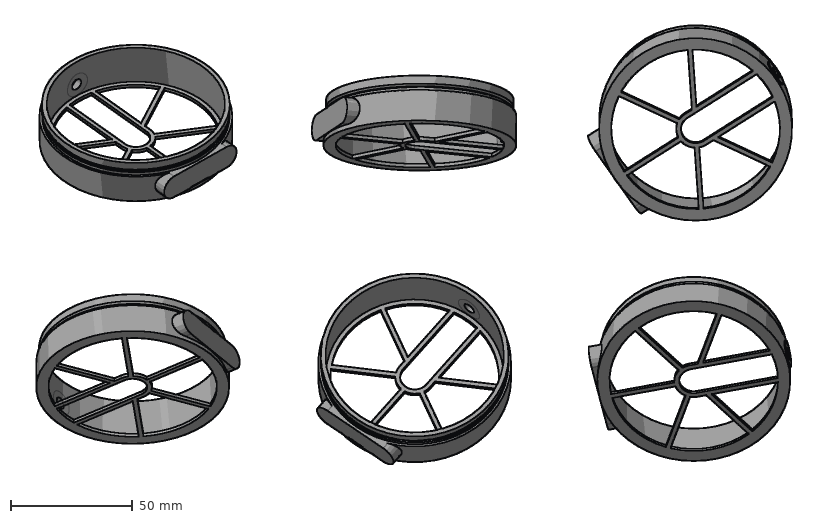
import cadquery as cq

height = 19.5
body_radius = 39.8
body_height = 13.0
collar_radius = 38.7
bore_radius = 36.7
opening_radius = 34.7
floor_thickness = 1.5

groove_bottom = 14.6
groove_flank_bottom = 15.1
groove_top = 16.0
groove_radius = 37.8

rib_width = 2.0
slot_outer_radius = 8.0
slot_inner_radius = slot_outer_radius - rib_width
spoke_angles = (-120, -60, 0, 60, 120)
rib_end_radius = (opening_radius + bore_radius) / 2

boss_reach = 40.0
boss_radius = 5.5
boss_height = body_height - boss_radius
wide_boss_length = 40.0
hole_radius = 2.5


def make_ring():
    """Revolve the stepped wall and its inner floor ledge."""
    profile = [
        (opening_radius, 0),
        (body_radius, 0),
        (body_radius, body_height),
        (collar_radius, body_height),
        (collar_radius, groove_bottom),
        (groove_radius, groove_bottom),
        (groove_radius, groove_flank_bottom),
        (collar_radius, groove_top),
        (collar_radius, height),
        (bore_radius, height),
        (bore_radius, floor_thickness),
        (opening_radius, floor_thickness),
    ]
    return cq.Workplane("XZ").polyline(profile).close().revolve(360, (0, 0), (0, 1))


def floor_slot(radius):
    """Round-ended slab running from the centre past the floor edge at -X."""
    straight = (
        cq.Workplane("XY")
        .rect(body_radius, 2 * radius)
        .extrude(floor_thickness)
        .translate((-body_radius / 2, 0, 0))
    )
    return straight.union(cq.Workplane("XY").circle(radius).extrude(floor_thickness))


def make_floor_grid():
    """Join the spokes to the U-shaped rib and trim them inside the wall."""
    grid = floor_slot(slot_outer_radius)
    for angle in spoke_angles:
        spoke = (
            cq.Workplane("XY")
            .center(body_radius / 2, 0)
            .rect(body_radius, rib_width)
            .extrude(floor_thickness)
            .rotate((0, 0, 0), (0, 0, 1), angle)
        )
        grid = grid.union(spoke)
    grid = grid.cut(floor_slot(slot_inner_radius))
    trim = cq.Workplane("XY").circle(rib_end_radius).extrude(floor_thickness)
    return grid.intersect(trim)


def side_plane():
    """Plane through the ring axis, facing +X, centred at boss height."""
    return cq.Workplane("YZ", origin=(0, 0, boss_height))


def make_bosses():
    """Round boss on -X and long round-ended boss on +X, cleared from the bore."""
    round_boss = side_plane().circle(boss_radius).extrude(-boss_reach)
    wide_boss = side_plane().slot2D(wide_boss_length, 2 * boss_radius).extrude(boss_reach)
    bore = cq.Workplane("XY").circle(bore_radius).extrude(height)
    return round_boss.union(wide_boss).cut(bore)


side_hole = side_plane().circle(hole_radius).extrude(-boss_reach)
result = make_ring().union(make_floor_grid()).union(make_bosses()).cut(side_hole)